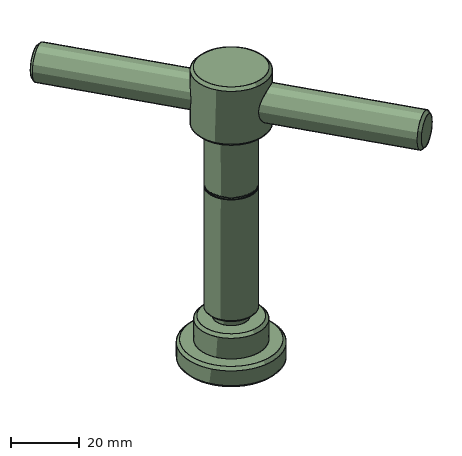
import cadquery as cq

total_height = 100.3
bar_length = 120.0
bar_diameter = 12.0
edge_chamfer = 1.0

foot_diameter = 32.0
foot_height = 7.0
collar_diameter = 22.0
collar_top = 15.0

neck_diameter = 11.0
shaft_diameter = 16.0
shaft_bottom = 17.4
shaft_end_chamfer = 0.8
groove_diameter = 15.2
groove_width = 0.7
groove_depth_below_top = 40.0

head_diameter = 24.0
head_height = 20.0

head_bottom = total_height - head_height
bar_height = total_height - head_height / 2
groove_top = total_height - groove_depth_below_top
groove_bottom = groove_top - groove_width


def cylinder(diameter, bottom, top):
    """Upright cylinder on the spindle axis between two heights."""
    return cq.Workplane("XY").workplane(offset=bottom).circle(diameter / 2).extrude(top - bottom)


foot = cylinder(foot_diameter, 0, foot_height).edges().chamfer(edge_chamfer)
collar = cylinder(collar_diameter, foot_height, collar_top).faces(">Z").edges().chamfer(edge_chamfer)

neck = cylinder(neck_diameter, collar_top, shaft_bottom)
lower_shaft = cylinder(shaft_diameter, shaft_bottom, groove_bottom)
lower_shaft = lower_shaft.faces("<Z").edges().chamfer(shaft_end_chamfer)
groove_core = cylinder(groove_diameter, groove_bottom, groove_top)
upper_shaft = cylinder(shaft_diameter, groove_top, head_bottom)

head = cylinder(head_diameter, head_bottom, total_height).edges().chamfer(edge_chamfer)
bar = (
    cq.Workplane("YZ")
    .center(0, bar_height)
    .circle(bar_diameter / 2)
    .extrude(bar_length / 2, both=True)
    .faces("<X or >X")
    .edges()
    .chamfer(edge_chamfer)
)

result = foot
for section in (collar, neck, lower_shaft, groove_core, upper_shaft, head, bar):
    result = result.union(section)